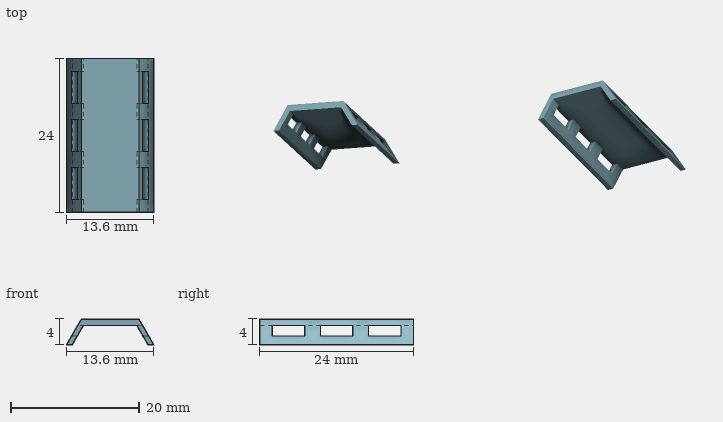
import cadquery as cq
import math

length = 24.0
height = 4.0
top_width = 9.0
top_thickness = 1.0
leg_thickness = 0.8
leg_lean = math.radians(30)

window_count = 3
window_length = 5.0
window_pitch = 7.5
window_bottom = 1.4
window_top = 3.0

leg_spread = height * math.tan(leg_lean)
leg_width = leg_thickness / math.cos(leg_lean)
outer_top = top_width / 2
outer_foot = outer_top + leg_spread
inner_foot = outer_foot - leg_width
inner_height = height - top_thickness
inner_top = inner_foot - inner_height * math.tan(leg_lean)


def make_channel():
    """Flat top with two splayed legs, centred on Y, feet on Z = 0."""
    outline = [
        (-outer_foot, 0),
        (-outer_top, height),
        (outer_top, height),
        (outer_foot, 0),
        (inner_foot, 0),
        (inner_top, inner_height),
        (-inner_top, inner_height),
        (-inner_foot, 0),
    ]
    return cq.Workplane("XZ").polyline(outline).close().extrude(length / 2, both=True)


def make_window_cutter(y_centre):
    """Bar along X that opens one window in each leg."""
    window_height = window_top - window_bottom
    window_middle = (window_top + window_bottom) / 2
    return (
        cq.Workplane("XY")
        .box(2 * outer_foot, window_length, window_height)
        .translate((0, y_centre, window_middle))
    )


result = make_channel()
for index in range(window_count):
    y_centre = (index - (window_count - 1) / 2) * window_pitch
    result = result.cut(make_window_cutter(y_centre))